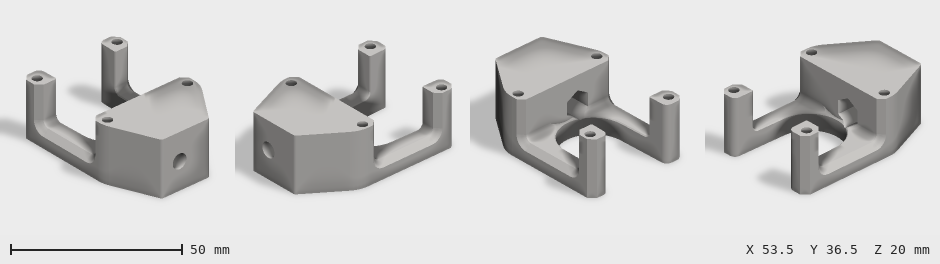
import cadquery as cq
import math

length = 53.5
height = 20.0
side_back = 18.05
side_front = 18.45
edge_size = 2.0

taper_start_back = 37.55
taper_start_front = 35.85
end_back = 7.1
end_front = -11.15
taper_radius = 10.0
end_radius = 1.0

slot_radius = 11.0
slot_end_x = 30.0
slot_center_x = slot_end_x - slot_radius
mouth_half_width = 11.5
slot_chamfer = 0.3

saddle_start = 7.4
saddle_end = 30.45
floor_z = 6.0

screw_diameter = 3.3
screw_x = (3.5, 34.45)
screw_y = 15.5

bolt_diameter = 5.3
bolt_y = -4.3
bolt_z = height / 2
nut_across_flats = 8.25
nut_depth = 10.0


def slot_outline():
    """Half-round slot with nearly parallel flanks tangent to the arc."""
    reach = math.hypot(slot_center_x, mouth_half_width)
    tilt = math.atan2(slot_center_x, mouth_half_width) - math.acos(slot_radius / reach)
    tangent_x = slot_center_x + slot_radius * math.sin(tilt)
    tangent_y = slot_radius * math.cos(tilt)
    return (
        cq.Workplane("XY")
        .moveTo(0, -mouth_half_width)
        .lineTo(tangent_x, -tangent_y)
        .threePointArc((slot_end_x, 0), (tangent_x, tangent_y))
        .lineTo(0, mouth_half_width)
        .close()
    )


def slab(start_x, end_x, base_z=0):
    """Block over the full width, from base_z to at least the top of the part."""
    return (
        cq.Workplane("XY")
        .box(end_x - start_x, side_back + side_front, height, centered=False)
        .translate((start_x, -side_front, base_z))
    )


def make_body():
    body = (
        cq.Workplane("XY")
        .polyline([
            (0, -side_front),
            (taper_start_front, -side_front),
            (length, end_front),
            (length, end_back),
            (taper_start_back, side_back),
            (0, side_back),
        ])
        .close()
        .extrude(height)
    )
    tapers = cq.selectors.BoxSelector(
        (taper_start_front - 0.55, -side_front - 0.55, 0),
        (taper_start_back + 0.55, side_back + 0.55, height),
    )
    body = body.edges("|Z").edges(tapers).fillet(taper_radius)
    body = body.edges("|Z and >X").fillet(end_radius)
    return body.edges("|Z and <X").chamfer(edge_size)


def cut_slot(body):
    body = body.cut(slot_outline().extrude(height))
    mouth_edges = cq.selectors.BoxSelector(
        (-0.55, -mouth_half_width - 0.55, 0),
        (0.55, mouth_half_width + 0.55, height),
    )
    return body.edges("|Z").edges(mouth_edges).fillet(edge_size)


def cut_saddle(body):
    """Round-cornered cut over the arms, flared towards both outer sides."""
    saddle = slab(saddle_start, saddle_end, floor_z).edges("|Y and <Z").fillet(edge_size)
    body = body.cut(saddle)
    for side_y in (-side_front, side_back):
        rim = cq.selectors.BoxSelector(
            (saddle_start - 0.55, side_y - 0.55, floor_z - 0.55),
            (saddle_end + 0.55, side_y + 0.55, height - 0.55),
        )
        body = body.edges(rim).chamfer(edge_size)
    return body


def chamfer_post_edges(body):
    """Chamfer that starts at the top of each post and runs down its slot edge onto the arm."""
    post_edges = cq.selectors.BoxSelector(
        (saddle_start - 0.55, -mouth_half_width, floor_z),
        (saddle_start + 0.55, mouth_half_width, height),
    )
    return body.edges("|Z").edges(post_edges).chamfer(slot_chamfer)


def cut_slot_bevel(body):
    """45 degree bevel from the slot wall up to the top of the saddle fillet, stopping at the saddle wall."""
    bevel_height = slot_chamfer + edge_size
    bevel = slot_outline().extrude(bevel_height, taper=-45)
    bevel = bevel.translate((0, 0, floor_z - slot_chamfer))
    return body.cut(bevel.intersect(slab(0, saddle_end)))


def break_slot_edges(body):
    """Edge chamfer at the posts, continued by the bevel that runs into the saddle wall.

    Both have the same section along the straight flanks, so the two halves join flush there.
    """
    joint_x = (saddle_start + slot_center_x) / 2
    post_half = chamfer_post_edges(body).intersect(slab(0, joint_x))
    wall_half = cut_slot_bevel(body).intersect(slab(joint_x, length))
    return post_half.union(wall_half).clean()


def cut_screw_holes(body):
    centers = [(x, y) for x in screw_x for y in (-screw_y, screw_y)]
    holes = cq.Workplane("XY").pushPoints(centers).circle(screw_diameter / 2).extrude(height)
    return body.cut(holes)


def cut_cross_bolt(body):
    bolt_plane = cq.Workplane("YZ", origin=(slot_center_x, bolt_y, bolt_z))
    bolt = bolt_plane.circle(bolt_diameter / 2).extrude(length - slot_center_x)
    nut_diameter = nut_across_flats / math.cos(math.pi / 6)
    nut = (
        bolt_plane
        .transformed(rotate=(0, 0, 90))
        .polygon(6, nut_diameter)
        .extrude(saddle_end + nut_depth - slot_center_x)
    )
    return body.cut(bolt).cut(nut)


result = make_body()
result = cut_slot(result)
result = cut_saddle(result)
result = break_slot_edges(result)
result = cut_screw_holes(result)
result = cut_cross_bolt(result)